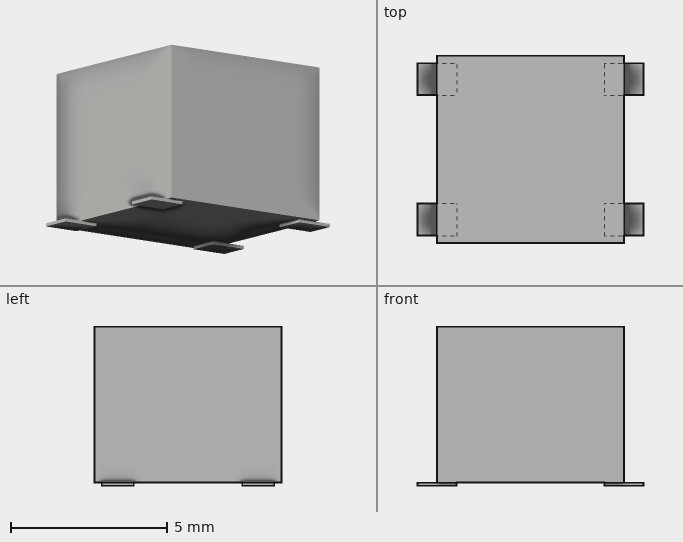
import cadquery as cq

overall_length = 7.24
overall_height = 5.1
housing_side = 6.0

lead_length = 1.25
lead_width = 1.03
lead_thickness = 0.1
lead_pitch = 4.495

housing_height = overall_height - lead_thickness
lead_center_x = (overall_length - lead_length) / 2
lead_center_y = lead_pitch / 2


def make_housing():
    """Plain block resting on the top faces of the leads."""
    return (
        cq.Workplane("XY")
        .workplane(offset=lead_thickness)
        .rect(housing_side, housing_side)
        .extrude(housing_height)
    )


def make_lead(side_x, side_y):
    """Flat strip at one corner, reaching out past the housing along X."""
    return (
        cq.Workplane("XY")
        .center(side_x * lead_center_x, side_y * lead_center_y)
        .rect(lead_length, lead_width)
        .extrude(lead_thickness)
    )


housing = make_housing()
leads = [make_lead(side_x, side_y) for side_x in (-1, 1) for side_y in (-1, 1)]

result = cq.Compound.makeCompound([housing.val(), *[lead.val() for lead in leads]])